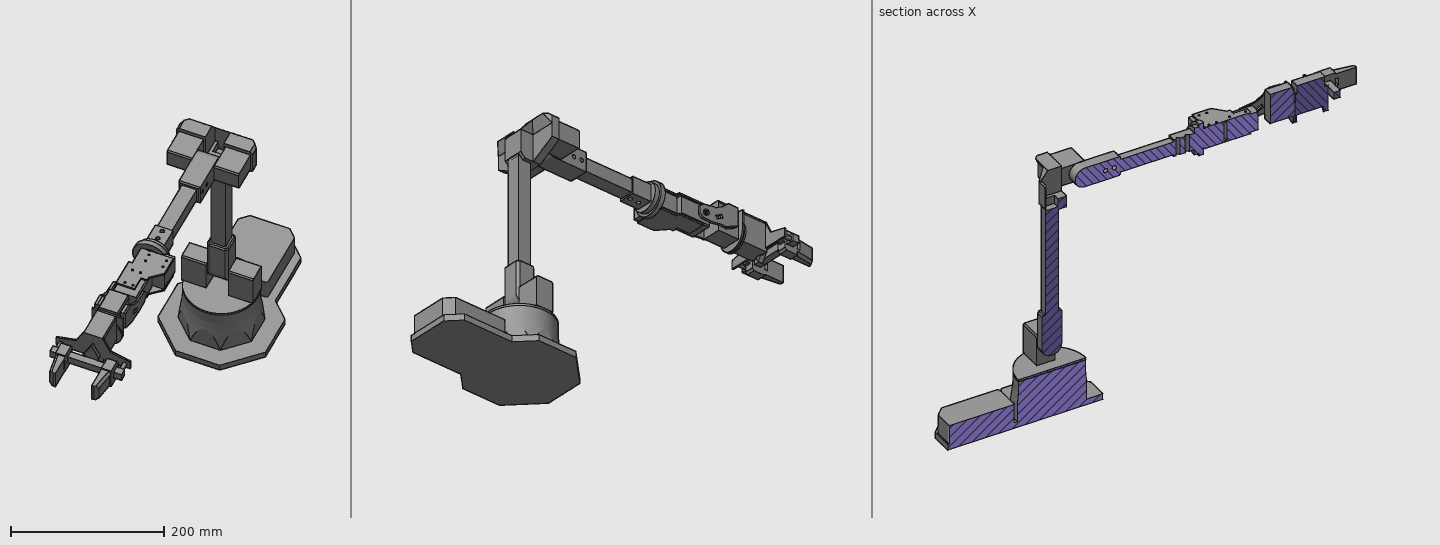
import cadquery as cq
import math


BASE_WIDTH = 153.5
BASE_HALF = BASE_WIDTH / 2
BASE_SIDE = 31.5
TAIL_HALF = 52.0
TAIL_END = 157.0
TAIL_CHAMFER = 19.0
PLATE_TOP = 9.5

BATTERY_HALF = 40.5
BATTERY_FRONT = 57.0
BATTERY_REAR = 155.0
BATTERY_TOP = 38.5
BATTERY_CHAMFER = 12.0
BATTERY_ROUND = 4.0

PEDESTAL_FLAT = 52.5
OCTAGON_TURN = 22.5
PEDESTAL_RADIUS = 51.0
PEDESTAL_CONE_TOP = 43.0
PEDESTAL_CONE_DIAMETER = 104.0
PEDESTAL_COLLAR = 54.0
PEDESTAL_TOP = 72.0

TURNTABLE_TOP = 75.0
MOTOR_INNER = 16.0
MOTOR_OUTER = 51.0
MOTOR_HALF_DEPTH = 14.0
MOTOR_BEVEL = 2.0
SHOULDER_MOTOR_TOP = 121.0

SOCKET_WIDTH = 30.0
SOCKET_CHAMFER = 4.0
TUBE_WIDTH = 21.0
SHOULDER_AXIS_Z = 111.0
SOCKET_TOP = 163.5

ELBOW_HALF = 54.0
ELBOW_TOP = 380.0
ELBOW_CORNER = 4.0
ELBOW_TAPER_Z = 344.0
ELBOW_BOTTOM = 323.0
ELBOW_FOOT_HALF = 16.5
ELBOW_FLARE_Z = 365.0
LEDGE_REAR = -1.0
WING_REAR = -10.0
WING_FRONT = -22.0
WING_REAR_CHAMFER = 9.0
ELBOW_BACK_HALF = 16.0
ELBOW_BACK_REAR = 11.0
ELBOW_BACK_FOOT_CHAMFER = 7.5
FLARE_HALF = 24.5
RECESS_HALF = 13.0
RECESS_REAR = 9.0
RECESS_FLOOR = 341.0
BORE_HALF = 9.0
BORE_FLOOR = 328.0
ELBOW_MOTOR_END = -60.0

ARM_Z = 360.5
ELBOW_AXIS_Y = -50.0
FORE_SOCKET_END = -103.5
FORE_TUBE_END = -183.5
NECK_HALF_X = 12.5
NECK_HALF_Z = 13.0
NECK_END = -214.5
FLANGE_RADIUS = 21.5
FLANGE_END = -221.5
PIN_HOLE = 5.5
SIDE_HOLES_Y = (-81.0, -94.0)
TOP_HOLES_Y = (-190.0, -204.0)

ROLL_RING_RADIUS = 25.0
ROLL_RING_END = -228.5
ROLL_HUB_RADIUS = 16.0
ROLL_MOTOR_REAR = -231.0
ROLL_MOTOR_LEFT = -12.0
ROLL_MOTOR_RIGHT = 34.0
ROLL_MOTOR_FRONT = -259.5
PITCH_MOTOR_LEFT = -17.0
PITCH_MOTOR_RIGHT = 18.0
PITCH_MOTOR_REAR = -263.0
PITCH_MOTOR_FRONT = -311.0
MOTOR_HALF_Z = 14.5
COVER_HALF_Z = 17.0
COVER_FRONT = -300.0
COVER_TAPER_END = -274.0
COVER_SCREW = 2.7
COVER_SCREW_DEPTH = 2.0
ROLL_SCREWS_X = (2.5, 28.0)
ROLL_SCREWS_Y = (-238.0, -249.0)
PITCH_SCREWS_X = (-6.0, 5.0)
PITCH_SCREWS_Y = (-271.0, -295.0)
REAR_TAB_LEFT = 17.5
REAR_TAB_REAR = -225.5
COVER_CUT_X = 9.5
COVER_CUT_REAR = -279.0

PITCH_AXIS_Y = -300.0
YOKE_LEFT = -23.0
YOKE_LEFT_INNER = -19.0
YOKE_RIGHT_INNER = 19.0
YOKE_RIGHT = 21.5
YOKE_FRONT = -355.5
YOKE_BRIDGE_REAR = -339.5
YOKE_OUTLINE = [
    (-290.5, 356.0), (-295.5, 351.5), (-311.0, 351.0), (-327.5, 353.5), (-333.0, 353.0), (YOKE_FRONT, 362.0),
    (YOKE_FRONT, 390.0), (-339.0, 390.5), (-328.0, 381.0), (-318.0, 375.5), (-295.5, 372.5), (-290.5, 367.5),
]
YOKE_BRIDGE = [
    (YOKE_BRIDGE_REAR, 355.5), (YOKE_FRONT, 362.0), (YOKE_FRONT, 390.0), (YOKE_BRIDGE_REAR, 390.0),
]
YOKE_WINDOW = [(-317.5, 363.5), (-320.0, 359.0), (-329.5, 364.0), (-327.5, 369.0)]
PIVOT_CAP = 8.0
PIVOT_CAP_HEIGHT = 2.5
PIVOT_SOCKET = 4.0
BOX_HALF = 14.5
BOX_TOP = 396.0
BOX_BOTTOM = 349.0
BOX_BEVEL_X = 1.0
BOX_BEVEL_Z = 4.0
WRIST_BOX_REAR = -329.0
JOINT_RADIUS = 22.0
JOINT_FLANGE = 2.5
JOINT_HUB = 20.0
WRIST_FLANGE_REAR = -363.0
WRIST_FLANGE_TOP = 391.0
GRIPPER_FLANGE_REAR = -367.0

GRIPPER_PLATE_REAR = -409.0
GRIPPER_PLATE_FRONT = -411.5
PLATE_HALF = 53.0
PLATE_SIDE = [
    (20.0, 355.0), (PLATE_HALF, 355.0), (PLATE_HALF, 367.5), (24.5, 374.0), (13.0, BOX_TOP),
]
CRANK_FRONT = -416.5
CRANK_HALF_X = 11.0
CRANK_HALF_Z = 20.0
POST_DIAMETER = 6.0
POST_X = 45.5
BAR_HALF = 51.0
BAR_REAR = -425.0
BAR_FRONT = -435.0
BAR_HALF_Z = 5.5

FINGER_INNER = 26.0
FINGER_OUTER = 40.0
CARRIAGE_REAR = -421.0
CARRIAGE_FRONT = -442.5
CARRIAGE_HALF_Z = 15.0
CARRIAGE_CHAMFER = 3.0
BLADE_HALF_Z = 13.0
BLADE_BEVEL = 4.0
BLADE_TIP = -474.0
BLADE_SHOULDER = -471.5
TIP_OUTER = 35.5
TIP_INNER_CORNER = 29.0
LIP_REAR = -417.0
LIP_INNER = 30.0
LIP_HALF_Z = 3.0
WINDOW_FRONT = -447.0


def block(x, y, z):
    """Box between two limits along each axis, given in any order."""
    size = [abs(b - a) for a, b in (x, y, z)]
    middle = [(a + b) / 2 for a, b in (x, y, z)]
    return cq.Workplane("XY").box(*size).translate(tuple(middle))


def plan_prism(points, bottom, top):
    """Outline in the XY plane, extruded between two heights."""
    return cq.Workplane("XY").workplane(offset=bottom).polyline(points).close().extrude(top - bottom)


def front_prism(points, rear, front):
    """Outline in the XZ plane, extruded from a rear Y towards a front Y."""
    return cq.Workplane("XZ").workplane(offset=-rear).polyline(points).close().extrude(rear - front)


def side_prism(points, left, right):
    """Outline in the YZ plane, extruded between two X positions."""
    return cq.Workplane("YZ").workplane(offset=left).polyline(points).close().extrude(right - left)


def reach_cylinder(radius, rear, front, x=0, z=ARM_Z):
    """Cylinder along Y."""
    return cq.Workplane("XZ").workplane(offset=-rear).center(x, z).circle(radius).extrude(rear - front)


def cross_cylinder(radius, left, right, y, z):
    """Cylinder along X."""
    return cq.Workplane("YZ").workplane(offset=left).center(y, z).circle(radius).extrude(right - left)


def upright_cylinder(radius, x, y, bottom, top):
    """Cylinder along Z."""
    return cq.Workplane("XY").workplane(offset=bottom).center(x, y).circle(radius).extrude(top - bottom)


def mirrored(right_half):
    """Outline completed by reflecting its points to the -X side."""
    return right_half + [(-x, other) for x, other in reversed(right_half)]


def both_sides(body):
    """A feature together with its reflection at the -X side."""
    return body.union(body.mirror("YZ"))


def make_pedestal():
    corner_radius = PEDESTAL_FLAT / math.cos(math.radians(OCTAGON_TURN))
    octagon = (
        cq.Workplane("XY").workplane(offset=PLATE_TOP)
        .polygon(8, 2 * corner_radius).extrude(PEDESTAL_TOP - PLATE_TOP)
        .rotate((0, 0, 0), (0, 0, 1), OCTAGON_TURN)
    )
    envelope = (
        cq.Workplane("XZ")
        .polyline([
            (0, PLATE_TOP), (corner_radius, PLATE_TOP), (PEDESTAL_CONE_DIAMETER / 2, PEDESTAL_CONE_TOP),
            (PEDESTAL_RADIUS, PEDESTAL_COLLAR), (PEDESTAL_RADIUS, PEDESTAL_TOP), (0, PEDESTAL_TOP),
        ])
        .close().revolve()
    )
    return octagon.intersect(envelope)


def make_battery_box():
    box = block((-BATTERY_HALF, BATTERY_HALF), (BATTERY_FRONT, BATTERY_REAR), (PLATE_TOP, BATTERY_TOP))
    return (
        box.edges("|Z and >Y").chamfer(BATTERY_CHAMFER)
        .edges("|Z and <Y").fillet(BATTERY_ROUND)
    )


def make_base():
    neck_y = BASE_SIDE + BASE_HALF - TAIL_HALF
    plate = plan_prism(
        mirrored([
            (BASE_SIDE, -BASE_HALF), (BASE_HALF, -BASE_SIDE), (BASE_HALF, BASE_SIDE),
            (TAIL_HALF, neck_y), (TAIL_HALF, TAIL_END - TAIL_CHAMFER),
            (TAIL_HALF - TAIL_CHAMFER, TAIL_END),
        ]),
        0, PLATE_TOP,
    )
    return plate.union(make_pedestal()).union(make_battery_box())


def make_shoulder():
    turntable = upright_cylinder(PEDESTAL_RADIUS, 0, 0, PEDESTAL_TOP, TURNTABLE_TOP)
    motor = block(
        (MOTOR_INNER, MOTOR_OUTER), (-MOTOR_HALF_DEPTH, MOTOR_HALF_DEPTH),
        (TURNTABLE_TOP, SHOULDER_MOTOR_TOP),
    ).faces(">Z").edges("|X").chamfer(MOTOR_BEVEL)
    return turntable.union(both_sides(motor))


def make_shoulder_socket():
    half = SOCKET_WIDTH / 2
    across = (-half, half)
    socket = block(across, across, (SHOULDER_AXIS_Z - half, SOCKET_TOP))
    socket = socket.edges("|Z").chamfer(SOCKET_CHAMFER).faces(">Z").edges().chamfer(MOTOR_BEVEL)
    rounding = cross_cylinder(half, -half, half, 0, SHOULDER_AXIS_Z)
    rounding = rounding.union(block(across, across, (SHOULDER_AXIS_Z, SOCKET_TOP)))
    return socket.intersect(rounding)


def make_elbow_wings():
    """Plate that carries the elbow motors, with a ledge that leans back along its top edge."""
    face = front_prism(
        mirrored([
            (ELBOW_FOOT_HALF, ELBOW_BOTTOM), (ELBOW_HALF, ELBOW_TAPER_Z),
            (ELBOW_HALF, ELBOW_TOP - ELBOW_CORNER), (ELBOW_HALF - ELBOW_CORNER, ELBOW_TOP),
        ]),
        LEDGE_REAR, WING_FRONT,
    )
    plan = plan_prism(
        mirrored([
            (ELBOW_HALF, WING_FRONT), (ELBOW_HALF, WING_REAR),
            (ELBOW_HALF - WING_REAR_CHAMFER, LEDGE_REAR),
        ]),
        ELBOW_BOTTOM, ELBOW_TOP,
    )
    side = side_prism(
        [
            (WING_FRONT, ELBOW_BOTTOM), (WING_REAR, ELBOW_BOTTOM), (WING_REAR, ELBOW_FLARE_Z),
            (LEDGE_REAR, ELBOW_TOP), (WING_FRONT, ELBOW_TOP),
        ],
        -ELBOW_HALF, ELBOW_HALF,
    )
    return face.intersect(plan).intersect(side)


def make_elbow_back():
    """Block around the top of the tube; it widens upwards and slopes at the back."""
    face = front_prism(
        mirrored([
            (ELBOW_BACK_HALF, ELBOW_BOTTOM), (ELBOW_BACK_HALF, ELBOW_FLARE_Z), (FLARE_HALF, ELBOW_TOP),
        ]),
        ELBOW_BACK_REAR, WING_REAR,
    )
    side = side_prism(
        [
            (WING_REAR, ELBOW_BOTTOM), (ELBOW_BACK_REAR - ELBOW_BACK_FOOT_CHAMFER, ELBOW_BOTTOM),
            (ELBOW_BACK_REAR, ELBOW_BOTTOM + ELBOW_BACK_FOOT_CHAMFER), (ELBOW_BACK_REAR, ELBOW_FLARE_Z),
            (LEDGE_REAR, ELBOW_TOP), (WING_REAR, ELBOW_TOP),
        ],
        -FLARE_HALF, FLARE_HALF,
    )
    return face.intersect(side)


def make_elbow_motor():
    return block(
        (MOTOR_INNER, MOTOR_OUTER), (WING_FRONT, ELBOW_MOTOR_END),
        (ARM_Z - MOTOR_HALF_DEPTH, ARM_Z + MOTOR_HALF_DEPTH),
    ).faces("<Y").edges("|X").chamfer(MOTOR_BEVEL)


def make_upper_arm():
    half = TUBE_WIDTH / 2
    tube = block((-half, half), (-half, half), (SOCKET_TOP, RECESS_FLOOR))
    elbow = make_elbow_wings().union(make_elbow_back())
    recess = block((-RECESS_HALF, RECESS_HALF), (RECESS_REAR, WING_FRONT), (RECESS_FLOOR, ELBOW_TOP))
    bore = block((-BORE_HALF, BORE_HALF), (-BORE_HALF, BORE_HALF), (BORE_FLOOR, ELBOW_TOP))
    arm = make_shoulder_socket().union(tube).union(elbow).union(both_sides(make_elbow_motor()))
    return arm.cut(recess).cut(bore)


def make_forearm_tube():
    half = SOCKET_WIDTH / 2
    socket = block((-half, half), (ELBOW_AXIS_Y, FORE_SOCKET_END), (ARM_Z - half, ARM_Z + half))
    socket = socket.faces("<Y").edges().chamfer(MOTOR_BEVEL)
    socket = socket.union(cross_cylinder(half, -half, half, ELBOW_AXIS_Y, ARM_Z))
    for y in SIDE_HOLES_Y:
        socket = socket.cut(cross_cylinder(PIN_HOLE / 2, -half, half, y, ARM_Z))

    tube_half = TUBE_WIDTH / 2
    tube = block(
        (-tube_half, tube_half), (FORE_SOCKET_END, FORE_TUBE_END), (ARM_Z - tube_half, ARM_Z + tube_half)
    )
    neck = block(
        (-NECK_HALF_X, NECK_HALF_X), (FORE_TUBE_END, NECK_END), (ARM_Z - NECK_HALF_Z, ARM_Z + NECK_HALF_Z)
    )
    for y in TOP_HOLES_Y:
        neck = neck.cut(upright_cylinder(PIN_HOLE / 2, 0, y, ARM_Z - NECK_HALF_Z, ARM_Z + NECK_HALF_Z))
    flange = reach_cylinder(FLANGE_RADIUS, NECK_END, FLANGE_END)
    return socket.union(tube).union(neck).union(flange)


def make_cover_outline():
    return [
        (ROLL_MOTOR_LEFT, ROLL_MOTOR_REAR), (ROLL_MOTOR_RIGHT, ROLL_MOTOR_REAR),
        (ROLL_MOTOR_RIGHT, ROLL_MOTOR_FRONT), (PITCH_MOTOR_RIGHT, COVER_TAPER_END),
        (PITCH_MOTOR_RIGHT, COVER_CUT_REAR), (COVER_CUT_X, COVER_CUT_REAR),
        (COVER_CUT_X, COVER_FRONT), (PITCH_MOTOR_LEFT, COVER_FRONT),
        (PITCH_MOTOR_LEFT, ROLL_MOTOR_FRONT), (ROLL_MOTOR_LEFT, ROLL_MOTOR_FRONT),
    ]


def make_forearm_motors():
    body = reach_cylinder(ROLL_RING_RADIUS, FLANGE_END, ROLL_RING_END)
    body = body.union(reach_cylinder(ROLL_HUB_RADIUS, ROLL_RING_END, ROLL_MOTOR_REAR))

    core_z = (ARM_Z - MOTOR_HALF_Z, ARM_Z + MOTOR_HALF_Z)
    cover_z = (ARM_Z - COVER_HALF_Z, ARM_Z + COVER_HALF_Z)
    roll_motor = block((ROLL_MOTOR_LEFT, ROLL_MOTOR_RIGHT), (ROLL_MOTOR_REAR, ROLL_MOTOR_FRONT), core_z)
    roll_motor = roll_motor.edges("|Y").chamfer(MOTOR_BEVEL)
    pitch_motor = block(
        (PITCH_MOTOR_LEFT, PITCH_MOTOR_RIGHT), (PITCH_MOTOR_REAR, PITCH_MOTOR_FRONT), core_z
    ).edges("|Y").chamfer(MOTOR_BEVEL)
    covers = plan_prism(make_cover_outline(), *cover_z).cut(
        plan_prism(make_cover_outline(), *core_z)
    )
    rear_tab = block((REAR_TAB_LEFT, ROLL_MOTOR_RIGHT), (REAR_TAB_REAR, ROLL_MOTOR_REAR), core_z)
    rear_tab = rear_tab.cut(reach_cylinder(ROLL_RING_RADIUS, FLANGE_END, ROLL_RING_END))
    body = body.union(roll_motor).union(pitch_motor).union(covers).union(rear_tab)

    screws = [(x, y) for x in ROLL_SCREWS_X for y in ROLL_SCREWS_Y]
    screws += [(x, y) for x in PITCH_SCREWS_X for y in PITCH_SCREWS_Y]
    for x, y in screws:
        body = body.cut(upright_cylinder(COVER_SCREW / 2, x, y, cover_z[1] - COVER_SCREW_DEPTH, cover_z[1]))
    return body


def make_forearm():
    return make_forearm_tube().union(make_forearm_motors())


def make_yoke_arm(left, right):
    """Cranked arm between two X positions, with its lightening window."""
    return side_prism(YOKE_OUTLINE, left, right).cut(side_prism(YOKE_WINDOW, left, right))


def make_pivot_cap():
    """Screw cap on the -X arm, with a blind socket."""
    cap_end = YOKE_LEFT - PIVOT_CAP_HEIGHT
    cap = cross_cylinder(PIVOT_CAP / 2, cap_end, YOKE_LEFT, PITCH_AXIS_Y, ARM_Z)
    return cap.cut(cross_cylinder(PIVOT_SOCKET / 2, cap_end, YOKE_LEFT, PITCH_AXIS_Y, ARM_Z))


def make_motor_box(rear, front):
    return front_prism(
        mirrored([
            (BOX_HALF, BOX_BOTTOM), (BOX_HALF, BOX_TOP - BOX_BEVEL_Z), (BOX_HALF - BOX_BEVEL_X, BOX_TOP),
        ]),
        rear, front,
    )


def make_wrist():
    bridge = side_prism(YOKE_BRIDGE, YOKE_LEFT_INNER, YOKE_RIGHT_INNER)
    yoke = make_yoke_arm(YOKE_LEFT, YOKE_LEFT_INNER).union(make_yoke_arm(YOKE_RIGHT_INNER, YOKE_RIGHT))
    yoke = yoke.union(bridge).union(make_pivot_cap())

    across = (-JOINT_RADIUS, JOINT_RADIUS)
    flange_front = WRIST_FLANGE_REAR - JOINT_FLANGE
    flange = reach_cylinder(JOINT_RADIUS, WRIST_FLANGE_REAR, flange_front)
    flange = flange.union(block(across, (WRIST_FLANGE_REAR, flange_front), (ARM_Z, WRIST_FLANGE_TOP)))
    hub = reach_cylinder(JOINT_HUB / 2, flange_front, GRIPPER_FLANGE_REAR)
    return make_motor_box(WRIST_BOX_REAR, WRIST_FLANGE_REAR).union(yoke).union(flange).union(hub)


def make_gripper_motor():
    flange_front = GRIPPER_FLANGE_REAR - JOINT_FLANGE
    flange = reach_cylinder(JOINT_RADIUS, GRIPPER_FLANGE_REAR, flange_front)
    return make_motor_box(flange_front, GRIPPER_PLATE_FRONT).union(flange)


def make_gripper_frame():
    plate = front_prism(mirrored(PLATE_SIDE), GRIPPER_PLATE_REAR, GRIPPER_PLATE_FRONT)
    crank = front_prism(
        [
            (-CRANK_HALF_X, ARM_Z), (0, ARM_Z - CRANK_HALF_Z),
            (CRANK_HALF_X, ARM_Z), (0, ARM_Z + CRANK_HALF_Z),
        ],
        GRIPPER_PLATE_REAR, CRANK_FRONT,
    )
    post = reach_cylinder(POST_DIAMETER / 2, GRIPPER_PLATE_FRONT, BAR_REAR, POST_X)
    bar = block((-BAR_HALF, BAR_HALF), (BAR_REAR, BAR_FRONT), (ARM_Z - BAR_HALF_Z, ARM_Z + BAR_HALF_Z))
    return plate.union(crank).union(both_sides(post)).union(bar)


def make_gripper():
    return make_gripper_motor().union(make_gripper_frame())


def make_right_finger():
    carriage = block(
        (FINGER_INNER, FINGER_OUTER), (CARRIAGE_REAR, CARRIAGE_FRONT),
        (ARM_Z - CARRIAGE_HALF_Z, ARM_Z + CARRIAGE_HALF_Z),
    ).faces(">Y").edges("|X").chamfer(CARRIAGE_CHAMFER)
    blade = plan_prism(
        [
            (FINGER_INNER, CARRIAGE_FRONT), (FINGER_OUTER, CARRIAGE_FRONT), (TIP_OUTER, BLADE_SHOULDER),
            (TIP_INNER_CORNER, BLADE_TIP), (FINGER_INNER, BLADE_TIP),
        ],
        ARM_Z - BLADE_HALF_Z, ARM_Z + BLADE_HALF_Z,
    )
    outer_middle = ((FINGER_OUTER + TIP_OUTER) / 2, (CARRIAGE_FRONT + BLADE_SHOULDER) / 2, ARM_Z)
    outer_face = blade.faces(cq.selectors.NearestToPointSelector(outer_middle))
    blade = outer_face.edges("not |Z").chamfer(BLADE_BEVEL)
    lip = block(
        (LIP_INNER, FINGER_OUTER), (LIP_REAR, CARRIAGE_REAR), (ARM_Z - LIP_HALF_Z, ARM_Z + LIP_HALF_Z)
    )
    bar_z = (ARM_Z - BAR_HALF_Z, ARM_Z + BAR_HALF_Z)
    bar_slot = block((FINGER_INNER, FINGER_OUTER), (BAR_REAR, BAR_FRONT), bar_z)
    window = block((FINGER_INNER, FINGER_OUTER), (CARRIAGE_FRONT, WINDOW_FRONT), bar_z)
    return carriage.union(blade).union(lip).cut(bar_slot).cut(window)


def make_fingers():
    right = make_right_finger()
    return [right, right.mirror("YZ")]


base = make_base()
shoulder = make_shoulder()
upper_arm = make_upper_arm()
forearm = make_forearm()
wrist = make_wrist()
gripper = make_gripper()
fingers = make_fingers()

result = cq.Compound.makeCompound([
    base.val(),
    shoulder.val(),
    upper_arm.val(),
    forearm.val(),
    wrist.val(),
    gripper.val(),
    *[finger.val() for finger in fingers],
])